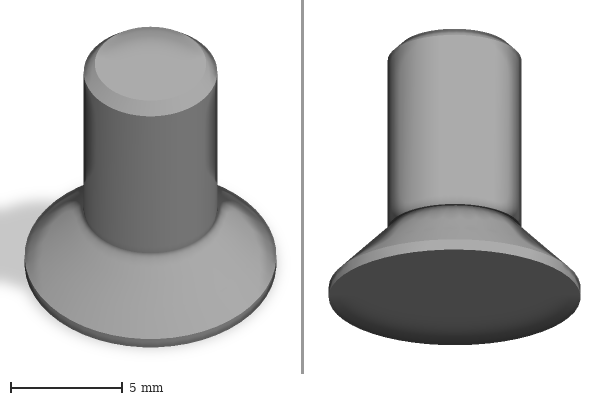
import cadquery as cq

total_length = 12.0
shank_diameter = 6.0
tip_chamfer = 0.5
head_diameter = 11.3
head_height = 3.3
head_rim_height = 0.5

shank_radius = shank_diameter / 2
head_radius = head_diameter / 2
tip_radius = shank_radius - tip_chamfer
cone_top_radius = head_radius - (head_height - head_rim_height)


def screw_half_profile():
    """Closed half section in the XZ plane, from the axis outwards."""
    return (
        cq.Workplane("XZ")
        .moveTo(0, 0)
        .lineTo(head_radius, 0)
        .lineTo(head_radius, head_rim_height)
        .lineTo(cone_top_radius, head_height)
        .lineTo(shank_radius, head_height)
        .lineTo(shank_radius, total_length - tip_chamfer)
        .lineTo(tip_radius, total_length)
        .lineTo(0, total_length)
        .close()
    )


result = screw_half_profile().revolve(360, (0, 0, 0), (0, 1, 0))